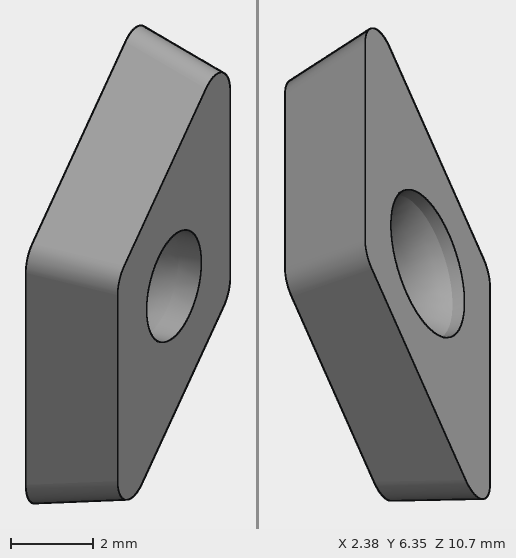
import cadquery as cq
import math

inscribed_circle = 6.35
thickness = 2.38
acute_angle = 55.0
clearance_angle = 7.0
corner_radius = 0.8

bore_radius = 1.4
entry_radius = 1.87
seat_radius = 1.81
entry_depth = 0.3
seat_end_depth = 1.75


def rhombus_points():
    """Sharp corners (y, z) of the large face; two of the sides run parallel to Z."""
    half_width = inscribed_circle / 2
    side = inscribed_circle / math.sin(math.radians(acute_angle))
    rise = side * math.cos(math.radians(acute_angle))
    long_z = (side + rise) / 2
    short_z = (side - rise) / 2
    return [
        (half_width, long_z),
        (half_width, -short_z),
        (-half_width, -long_z),
        (-half_width, short_z),
    ]


def make_body():
    """Tapered rhombic plate with constant-radius rounded corners."""
    plate = (
        cq.Workplane("YZ")
        .polyline(rhombus_points())
        .close()
        .extrude(thickness, taper=clearance_angle)
    )
    return plate.edges("not #X").fillet(corner_radius)


def make_screw_hole():
    """Revolved cutter whose seat arc runs out tangent to the bore."""
    seat_length = seat_end_depth - entry_depth
    seat_drop = seat_radius - bore_radius
    arc_radius = (seat_length**2 + seat_drop**2) / (2 * seat_drop)
    half_sweep = math.asin(seat_length / arc_radius) / 2
    arc_middle = (
        seat_end_depth - arc_radius * math.sin(half_sweep),
        bore_radius + arc_radius * (1 - math.cos(half_sweep)),
    )
    return (
        cq.Workplane("XY")
        .moveTo(0, 0)
        .lineTo(0, entry_radius)
        .lineTo(entry_depth, seat_radius)
        .threePointArc(arc_middle, (seat_end_depth, bore_radius))
        .lineTo(thickness, bore_radius)
        .lineTo(thickness, 0)
        .close()
        .revolve(360, (0, 0, 0), (1, 0, 0))
    )


result = make_body().cut(make_screw_hole())